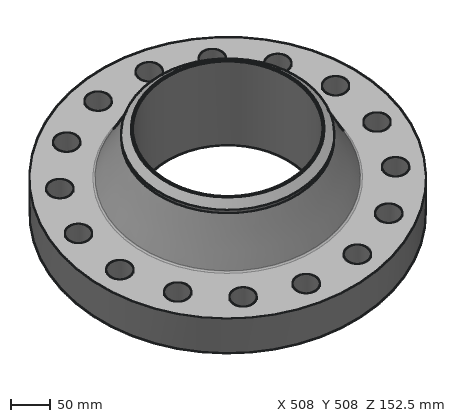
import cadquery as cq

flange_diameter = 508.0
flange_thickness = 63.5
total_height = 152.5
bore_diameter = 243.0

hub_base_diameter = 341.5
hub_fillet = 3.0

neck_diameter = 273.0
neck_band_height = 6.0
bevel_height = 9.5
weld_face_width = 2.5

bolt_count = 16
bolt_circle_diameter = 431.5
bolt_hole_diameter = 35.0


def flange_plate():
    return cq.Workplane("XY").circle(flange_diameter / 2).extrude(flange_thickness)


def hub():
    """Solid hub: taper, short straight band and welding bevel, turned around Z."""
    neck_radius = neck_diameter / 2
    bevel_bottom = total_height - bevel_height
    taper_top = bevel_bottom - neck_band_height
    half_section = [
        (0, flange_thickness),
        (hub_base_diameter / 2, flange_thickness),
        (neck_radius, taper_top),
        (neck_radius, bevel_bottom),
        (bore_diameter / 2 + weld_face_width, total_height),
        (0, total_height),
    ]
    return cq.Workplane("XZ").polyline(half_section).close().revolve(360, (0, 0), (0, 1))


def fillet_hub_foot(body):
    upper_face = body.faces("+Z").faces("<Z")
    return upper_face.edges(cq.selectors.RadiusNthSelector(0)).fillet(hub_fillet)


def bore():
    return cq.Workplane("XY").circle(bore_diameter / 2).extrude(total_height)


def bolt_holes():
    return (
        cq.Workplane("XY")
        .polarArray(bolt_circle_diameter / 2, 0, 360, bolt_count)
        .circle(bolt_hole_diameter / 2)
        .extrude(flange_thickness)
    )


blank = fillet_hub_foot(flange_plate().union(hub()))
result = blank.cut(bore()).cut(bolt_holes())